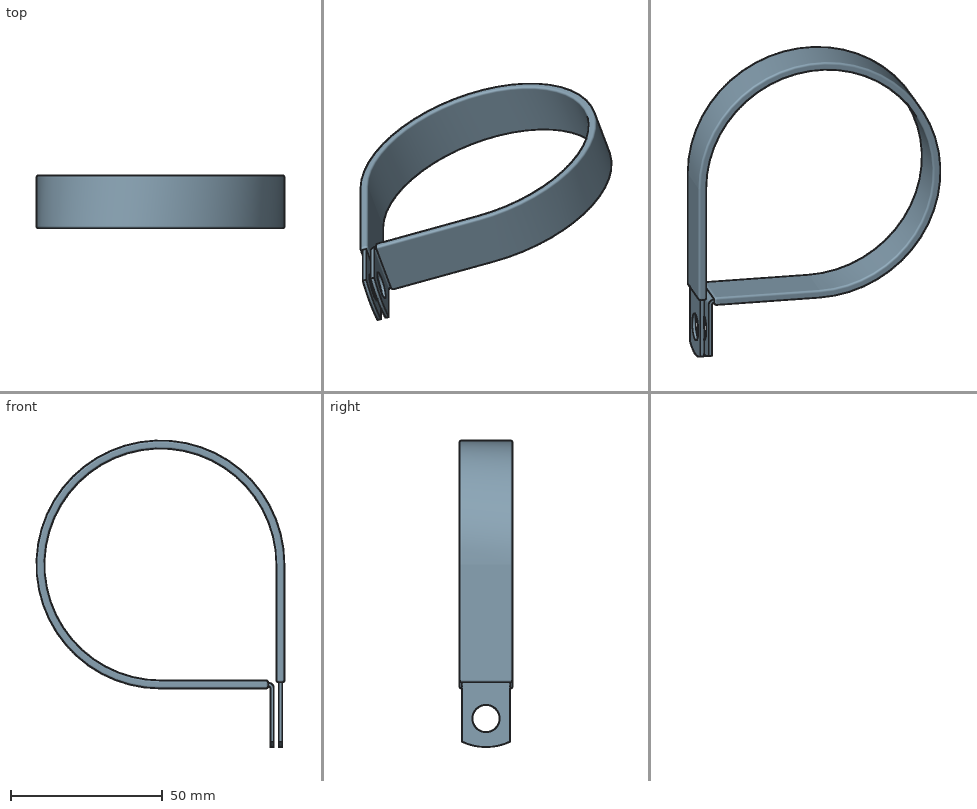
import cadquery as cq
import math

total_height = 101.2
loop_diameter = 81.8
cushion_width = 17.5

strap_thickness = 1.2
cushion_wall = 0.76
edge_radius = 0.75
cushion_thickness = strap_thickness + 2 * cushion_wall
strap_width = cushion_width - 2 * cushion_wall

tab_pitch = 2.7
bend_radius = 0.7
tip_rise = 1.8
hole_diameter = 8.9
hole_z = -50.8
leg_end_z = -38.8

loop_radius = loop_diameter / 2
tip_z = loop_radius - total_height
strap_radius = loop_radius - cushion_wall
inner_tab_x = strap_radius - tab_pitch
outer_bend_radius = bend_radius + strap_thickness
bend_start_x = inner_tab_x - outer_bend_radius


def loop_band(radius, thickness, width, flat_end_x, leg_bottom_z):
    """Three-quarter loop with a flat foot along +X and a vertical leg down -Z."""
    inner = radius - thickness
    diagonal = math.sqrt(0.5)
    return (
        cq.Workplane("XZ", origin=(0, width / 2, 0))
        .moveTo(flat_end_x, -radius)
        .lineTo(0, -radius)
        .threePointArc((-radius * diagonal, radius * diagonal), (radius, 0))
        .lineTo(radius, leg_bottom_z)
        .lineTo(inner, leg_bottom_z)
        .lineTo(inner, 0)
        .threePointArc((-inner * diagonal, inner * diagonal), (0, -inner))
        .lineTo(flat_end_x, -inner)
        .close()
        .extrude(width)
    )


def rounded_cushion():
    """Cushion with all its rims and its two ends rounded."""
    band = loop_band(loop_radius, cushion_thickness, cushion_width, bend_start_x, leg_end_z)
    middle = loop_radius - cushion_thickness / 2
    flat_end = cq.NearestToPointSelector((bend_start_x, 0, -middle))
    leg_end = cq.NearestToPointSelector((middle, 0, leg_end_z))
    rims = band.faces("<Y or >Y").add(band.faces(flat_end)).add(band.faces(leg_end))
    return rims.edges().fillet(edge_radius)


def inner_tab():
    """Quarter bend from the flat foot down into the inner tab."""
    bend_z = -strap_radius + strap_thickness - outer_bend_radius
    diagonal = math.sqrt(0.5)
    return (
        cq.Workplane("XZ", origin=(0, strap_width / 2, 0))
        .moveTo(bend_start_x, bend_z + outer_bend_radius)
        .threePointArc(
            (bend_start_x + outer_bend_radius * diagonal, bend_z + outer_bend_radius * diagonal),
            (inner_tab_x, bend_z),
        )
        .lineTo(inner_tab_x, tip_z)
        .lineTo(inner_tab_x - strap_thickness, tip_z)
        .lineTo(inner_tab_x - strap_thickness, bend_z)
        .threePointArc(
            (bend_start_x + bend_radius * diagonal, bend_z + bend_radius * diagonal),
            (bend_start_x, bend_z + bend_radius),
        )
        .close()
        .extrude(strap_width)
    )


def strap_side_outline():
    """Strap silhouette along X, giving both tabs their rounded tips."""
    half_width = strap_width / 2
    return (
        cq.Workplane("YZ", origin=(-loop_radius, 0, 0))
        .moveTo(-half_width, loop_radius)
        .lineTo(-half_width, tip_z + tip_rise)
        .threePointArc((0, tip_z), (half_width, tip_z + tip_rise))
        .lineTo(half_width, loop_radius)
        .close()
        .extrude(2 * loop_radius)
    )


def tab_hole():
    """Bolt hole through both tabs only."""
    return (
        cq.Workplane("YZ", origin=(bend_start_x, 0, hole_z))
        .circle(hole_diameter / 2)
        .extrude(loop_radius - bend_start_x)
    )


strap = loop_band(strap_radius, strap_thickness, strap_width, bend_start_x, tip_z).union(inner_tab())
strap = strap.intersect(strap_side_outline()).cut(tab_hole())
result = rounded_cushion().union(strap)